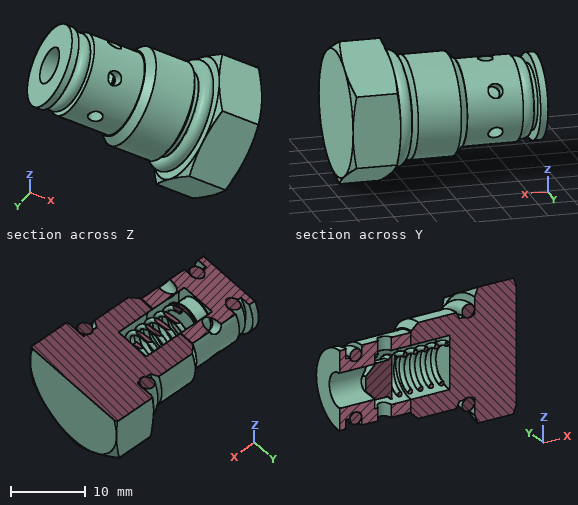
import cadquery as cq
import math

TOTAL_LENGTH = 27.8
HEX_SIDES = 6
HEX_ACROSS_FLATS = 17.45
HEX_LENGTH = 6.62
HEX_CHAMFER_ANGLE = 20.0
SHANK_RADIUS = 14.25 / 2
SHANK_NOSE_RADIUS = 12.25 / 2
SHANK_NOSE_LENGTH = 1.1
NECK_RADIUS = 12.3 / 2
NECK_TAPER_LENGTH = 0.55

PLUG_FRONT_X = 11.24
NECK_X = 18.88
HEX_X = TOTAL_LENGTH - HEX_LENGTH
HEX_CORNER_RADIUS = HEX_ACROSS_FLATS / 2 / math.cos(math.pi / HEX_SIDES)

SLEEVE_RADIUS = 11.87 / 2
RIM_LENGTH = 1.05
GROOVE_WIDTH = 2.4
GROOVE_RADIUS = 9.1 / 2
INLET_RADIUS = 5.15 / 2
CHAMBER_X = 5.55
CHAMBER_RADIUS = 7.93 / 2

PORT_COUNT = 6
PORT_DIAMETER = 2.0
PORT_X = 7.1

POPPET_TIP_RADIUS = 2.25 / 2
POPPET_NOSE_RADIUS = 5.45 / 2
FLANGE_RADIUS = 6.35 / 2
SEAT_CONE_ANGLE = 45.0
SHOULDER_CONE_ANGLE = 45.0
SHOULDER_X = 7.62
FLANGE_RIM_LENGTH = 0.22

SPRING_WIRE_DIAMETER = 0.7
SPRING_OUTER_DIAMETER = 2 * FLANGE_RADIUS
SPRING_TURNS = 5.0
SPRING_START_ANGLE = 180.0
SPRING_BORE_END_X = 17.25

SHOULDER_LENGTH = (FLANGE_RADIUS - POPPET_NOSE_RADIUS) / math.tan(math.radians(SHOULDER_CONE_ANGLE))
FLANGE_X = SHOULDER_X + SHOULDER_LENGTH
FLANGE_BACK_X = FLANGE_X + FLANGE_RIM_LENGTH

FRONT_RING_SECTION = 1.8
FRONT_RING_OUTER_DIAMETER = 11.2
REAR_RING_SECTION = 2.0
REAR_RING_OUTER_DIAMETER = 15.85
FRONT_RING_X = RIM_LENGTH + GROOVE_WIDTH - FRONT_RING_SECTION / 2
REAR_RING_X = HEX_X - REAR_RING_SECTION / 2


def revolve_profile(points):
    """Solid of revolution about the X axis from (x, radius) points."""
    return cq.Workplane("XY").polyline(points).close().revolve(360, (0, 0, 0), (1, 0, 0))


def make_o_ring(center_x, section, outer_diameter):
    """Torus about the X axis."""
    center_radius = (outer_diameter - section) / 2
    return (
        cq.Workplane("XY")
        .center(center_x, center_radius)
        .circle(section / 2)
        .revolve(360, (0, -center_radius, 0), (1, -center_radius, 0))
    )


def make_hexagon():
    """Hexagon with corners up and down, both ends chamfered down to the flats."""
    hexagon = (
        cq.Workplane("YZ", origin=(HEX_X, 0, 0))
        .polygon(HEX_SIDES, 2 * HEX_CORNER_RADIUS)
        .extrude(HEX_LENGTH)
        .rotate((0, 0, 0), (1, 0, 0), 180 / HEX_SIDES)
    )
    face_radius = HEX_ACROSS_FLATS / 2
    chamfer_length = (HEX_CORNER_RADIUS - face_radius) * math.tan(math.radians(HEX_CHAMFER_ANGLE))
    envelope = revolve_profile(
        [
            (HEX_X, 0),
            (HEX_X, face_radius),
            (HEX_X + chamfer_length, HEX_CORNER_RADIUS),
            (TOTAL_LENGTH - chamfer_length, HEX_CORNER_RADIUS),
            (TOTAL_LENGTH, face_radius),
            (TOTAL_LENGTH, 0),
        ]
    )
    return hexagon.intersect(envelope)


def make_plug(seal):
    """Hex plug with a blind bore for the spring and a recess for the seal on its neck."""
    shank = revolve_profile(
        [
            (PLUG_FRONT_X, CHAMBER_RADIUS),
            (PLUG_FRONT_X, SHANK_NOSE_RADIUS),
            (PLUG_FRONT_X + SHANK_NOSE_LENGTH, SHANK_RADIUS),
            (NECK_X - NECK_TAPER_LENGTH, SHANK_RADIUS),
            (NECK_X, NECK_RADIUS),
            (HEX_X, NECK_RADIUS),
            (HEX_X, 0),
            (SPRING_BORE_END_X, 0),
            (SPRING_BORE_END_X, CHAMBER_RADIUS),
        ]
    )
    return shank.union(make_hexagon()).cut(seal)


def make_sleeve(seal):
    """Ported sleeve holding the poppet, with a recess for the seal in its groove."""
    groove_end_x = RIM_LENGTH + GROOVE_WIDTH
    sleeve = revolve_profile(
        [
            (0, INLET_RADIUS),
            (0, SLEEVE_RADIUS),
            (RIM_LENGTH, SLEEVE_RADIUS),
            (RIM_LENGTH, GROOVE_RADIUS),
            (groove_end_x, GROOVE_RADIUS),
            (groove_end_x, SLEEVE_RADIUS),
            (PLUG_FRONT_X, SLEEVE_RADIUS),
            (PLUG_FRONT_X, CHAMBER_RADIUS),
            (CHAMBER_X, CHAMBER_RADIUS),
            (CHAMBER_X, INLET_RADIUS),
        ]
    )
    port = (
        cq.Workplane("XY", origin=(PORT_X, 0, 0))
        .circle(PORT_DIAMETER / 2)
        .extrude(SLEEVE_RADIUS)
    )
    for index in range(PORT_COUNT):
        sleeve = sleeve.cut(port.rotate((0, 0, 0), (1, 0, 0), index * 360 / PORT_COUNT))
    return sleeve.cut(seal)


def make_poppet():
    """Poppet whose seat cone touches the inner edge of the inlet bore."""
    seat_slope = math.tan(math.radians(SEAT_CONE_ANGLE))
    tip_x = CHAMBER_X - (INLET_RADIUS - POPPET_TIP_RADIUS) / seat_slope
    nose_x = CHAMBER_X + (POPPET_NOSE_RADIUS - INLET_RADIUS) / seat_slope
    return revolve_profile(
        [
            (tip_x, 0),
            (tip_x, POPPET_TIP_RADIUS),
            (nose_x, POPPET_NOSE_RADIUS),
            (SHOULDER_X, POPPET_NOSE_RADIUS),
            (FLANGE_X, FLANGE_RADIUS),
            (FLANGE_BACK_X, FLANGE_RADIUS),
            (FLANGE_BACK_X, 0),
        ]
    )


def make_spring():
    """Helical wire along the X axis, from the flange to the end of the plug bore."""
    wire_radius = SPRING_WIRE_DIAMETER / 2
    coil_radius = SPRING_OUTER_DIAMETER / 2 - wire_radius
    start_x = FLANGE_BACK_X + wire_radius
    coil_length = SPRING_BORE_END_X - wire_radius - start_x
    pitch = coil_length / SPRING_TURNS
    helix = cq.Wire.makeHelix(pitch, coil_length, coil_radius)
    start_plane = cq.Plane(
        origin=(coil_radius, 0, 0),
        xDir=(1, 0, 0),
        normal=(0, 2 * math.pi * coil_radius, pitch),
    )
    coil = cq.Workplane(start_plane).circle(wire_radius).sweep(cq.Workplane(obj=helix), isFrenet=True)
    return (
        coil.rotate((0, 0, 0), (0, 0, 1), SPRING_START_ANGLE)
        .rotate((0, 0, 0), (0, 1, 0), 90)
        .translate((start_x, 0, 0))
    )


front_ring = make_o_ring(FRONT_RING_X, FRONT_RING_SECTION, FRONT_RING_OUTER_DIAMETER)
rear_ring = make_o_ring(REAR_RING_X, REAR_RING_SECTION, REAR_RING_OUTER_DIAMETER)
sleeve = make_sleeve(front_ring)
plug = make_plug(rear_ring)
poppet = make_poppet()
spring = make_spring()

result = cq.Compound.makeCompound(
    [sleeve.val(), plug.val(), poppet.val(), spring.val(), front_ring.val(), rear_ring.val()]
)